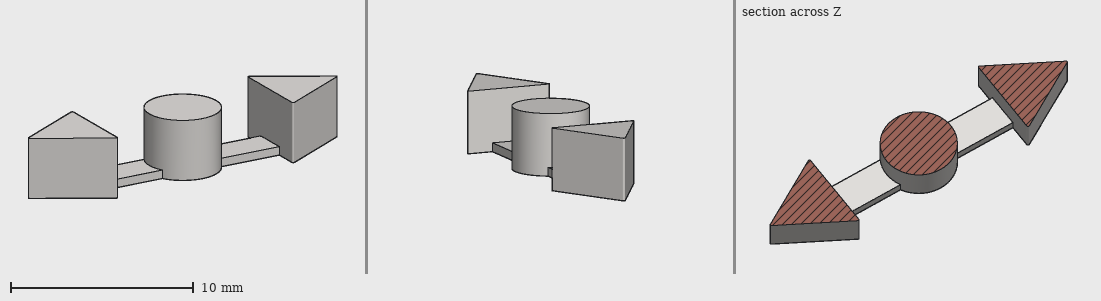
import cadquery as cq
import math

total_length = 19.57
height = 3.5
hub_diameter = 4.25
bar_width = 2.0
bar_thickness = 0.5
arrow_side = 5.0
arrow_corner_radius = 0.08

arrow_length = arrow_side * math.sqrt(3) / 2 - arrow_corner_radius
arrow_base_y = total_length / 2 - arrow_length


def make_hub():
    """Central round post."""
    return cq.Workplane("XY").circle(hub_diameter / 2).extrude(height)


def make_bar():
    """Thin strip joining the flat bases of both arrowheads through the hub."""
    return cq.Workplane("XY").rect(bar_width, 2 * arrow_base_y).extrude(bar_thickness)


def make_arrowhead(direction):
    """Triangular prism with rounded upright edges, pointing along +Y (1) or -Y (-1)."""
    base_y = direction * arrow_base_y
    sharp_tip_y = direction * (total_length / 2 + arrow_corner_radius)
    return (
        cq.Workplane("XY")
        .polyline([(-arrow_side / 2, base_y), (arrow_side / 2, base_y), (0, sharp_tip_y)])
        .close()
        .extrude(height)
        .edges("|Z")
        .fillet(arrow_corner_radius)
    )


result = make_hub().union(make_bar())
for direction in (1, -1):
    result = result.union(make_arrowhead(direction))